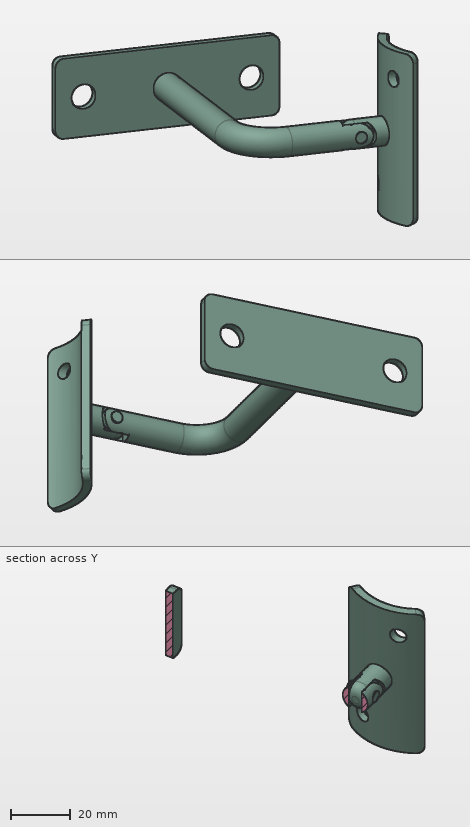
import cadquery as cq
import math

plate_length = 80.0
plate_height = 28.0
thickness = 3.0
corner_radius = 3.0
plate_hole_diameter = 8.5
plate_hole_inset = 10.0

rod_radius = 5.0
bend_radius = 15.0
arm_x = 74.9

hinge_y = 39.7
tongue_width = 5.0
slot_depth = 5.7
tongue_length = 5.0
tongue_end_fillet = 3.6
ear_radius = 4.3
relief_radius = 5.3
pin_radius = 2.0
pin_head_rise = 0.4

saddle_outer_radius = 24.5
saddle_inner_radius = saddle_outer_radius - thickness
saddle_width = 30.1
saddle_height = 60.0
saddle_bottom_y = 49.1
saddle_axis_y = saddle_bottom_y + saddle_outer_radius
screw_hole_diameter = 5.5
screw_hole_x = 7.05
screw_hole_z = 20.0


def x_cylinder(radius, x_start, x_end):
    """Cylinder about the hinge axis between two X positions."""
    plane = cq.Workplane("YZ", origin=(x_start, hinge_y, 0))
    return plane.circle(radius).extrude(x_end - x_start)


def y_cylinder(y_start, y_end):
    """Round bar on the axis of the rod's arm between two Y positions."""
    plane = cq.Workplane("XZ", origin=(arm_x, y_start, 0))
    return plane.circle(rod_radius).extrude(y_start - y_end)


def tongue_zone(y_start, y_end):
    """Block as wide as the tongue and taller than the rod."""
    length = y_end - y_start
    block = cq.Workplane("XY").box(tongue_width, length, 4 * rod_radius)
    return block.translate((arm_x, y_start + length / 2, 0))


def make_plate():
    hole_y = plate_length / 2 - plate_hole_inset
    plate = cq.Workplane("YZ").rect(plate_length, plate_height).extrude(thickness)
    plate = plate.edges("|X").fillet(corner_radius)
    holes = cq.Workplane("YZ").pushPoints([(-hole_y, 0), (hole_y, 0)])
    return plate.cut(holes.circle(plate_hole_diameter / 2).extrude(thickness))


def make_rod():
    bend_start_x = arm_x - bend_radius
    bend_offset = bend_radius * math.sqrt(0.5)
    path = (
        cq.Workplane("XY")
        .moveTo(thickness, 0)
        .lineTo(bend_start_x, 0)
        .threePointArc(
            (bend_start_x + bend_offset, bend_radius - bend_offset),
            (arm_x, bend_radius),
        )
        .lineTo(arm_x, hinge_y)
    )
    profile = cq.Workplane("YZ", origin=(thickness, 0, 0)).circle(rod_radius)
    return profile.sweep(path)


def make_bracket():
    """Wall plate and rod, with the rod end forked and bored for the pin."""
    ear_start = arm_x - rod_radius
    ear_end = arm_x + rod_radius
    ear_tips = y_cylinder(hinge_y, hinge_y + ear_radius)
    ear_tips = ear_tips.intersect(x_cylinder(ear_radius, ear_start, ear_end))
    bracket = make_plate().union(make_rod()).union(ear_tips)
    slot = tongue_zone(hinge_y - slot_depth, hinge_y + rod_radius)
    bore = x_cylinder(pin_radius, ear_start, ear_end)
    return bracket.cut(slot).cut(bore)


def make_saddle_plate():
    half_angle = math.asin(saddle_width / 2 / saddle_outer_radius)

    def arc_point(radius, angle):
        return (arm_x + radius * math.sin(angle), saddle_axis_y - radius * math.cos(angle))

    plate = (
        cq.Workplane("XY", origin=(0, 0, -saddle_height / 2))
        .moveTo(*arc_point(saddle_outer_radius, -half_angle))
        .threePointArc(
            arc_point(saddle_outer_radius, 0),
            arc_point(saddle_outer_radius, half_angle),
        )
        .lineTo(*arc_point(saddle_inner_radius, half_angle))
        .threePointArc(
            arc_point(saddle_inner_radius, 0),
            arc_point(saddle_inner_radius, -half_angle),
        )
        .close()
        .extrude(saddle_height)
    )
    plate = plate.edges("%LINE and (not |Z)").fillet(corner_radius)
    hole_points = [(screw_hole_x, screw_hole_z), (-screw_hole_x, -screw_hole_z)]
    holes = cq.Workplane("XZ", origin=(arm_x, saddle_axis_y, 0)).pushPoints(hole_points)
    return plate.cut(holes.circle(screw_hole_diameter / 2).extrude(saddle_outer_radius))


def make_saddle():
    """Saddle plate with its stub, rounded tongue and hinge pin."""
    tongue_tip_y = hinge_y - tongue_length
    stub = y_cylinder(tongue_tip_y, saddle_bottom_y + thickness / 2)
    stub = stub.faces("<Y").edges().fillet(tongue_end_fillet)
    ear_clearance = x_cylinder(relief_radius, arm_x - rod_radius, arm_x + rod_radius)
    below_hinge = cq.Workplane("XY").box(2 * rod_radius, tongue_length, 2 * rod_radius)
    below_hinge = below_hinge.translate((arm_x, hinge_y - tongue_length / 2, 0))
    ear_clearance = ear_clearance.union(below_hinge)
    stub = stub.cut(ear_clearance.cut(tongue_zone(tongue_tip_y, saddle_bottom_y)))
    pin = x_cylinder(pin_radius, arm_x - rod_radius - pin_head_rise, arm_x + rod_radius)
    saddle = make_saddle_plate().union(stub)
    return saddle.union(pin)


bracket = make_bracket()
saddle = make_saddle()

result = cq.Compound.makeCompound([bracket.val(), saddle.val()])